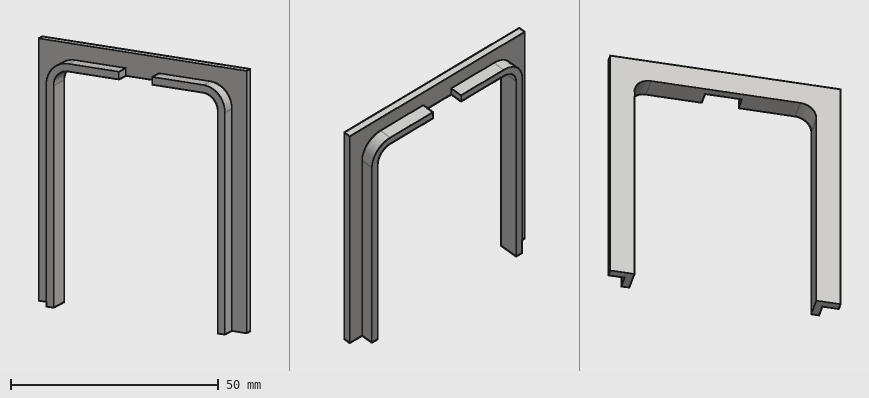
import cadquery as cq

width = 57.0
height = 66.0
depth = 5.5

plate_thickness = 2.0
flange_width = 4.0
rib_thickness = 2.0
rib_gap = 9.1
rib_outer_radius = 6.0
rib_inner_radius = rib_outer_radius - rib_thickness


def arch(inset, corner_radius, y_front, y_back):
    """Upright block inset from the sides and top, with rounded upper corners."""
    arch_width = width - 2 * inset
    arch_height = height - inset
    block = cq.Workplane("XY").box(arch_width, y_back - y_front, arch_height, centered=(True, False, False))
    block = block.translate((0, y_front, 0))
    return block.edges("|Y and >Z").fillet(corner_radius)


plate = cq.Workplane("XY").box(width, plate_thickness, height, centered=(True, False, False))
plate = plate.translate((0, depth - plate_thickness, 0))

rib_depth = depth - plate_thickness
rib = arch(flange_width, rib_outer_radius, 0, rib_depth)
gap = cq.Workplane("XY").box(rib_gap, rib_depth, height, centered=(True, False, False))

opening = arch(flange_width + rib_thickness, rib_inner_radius, 0, depth)

result = plate.union(rib.cut(gap)).cut(opening)